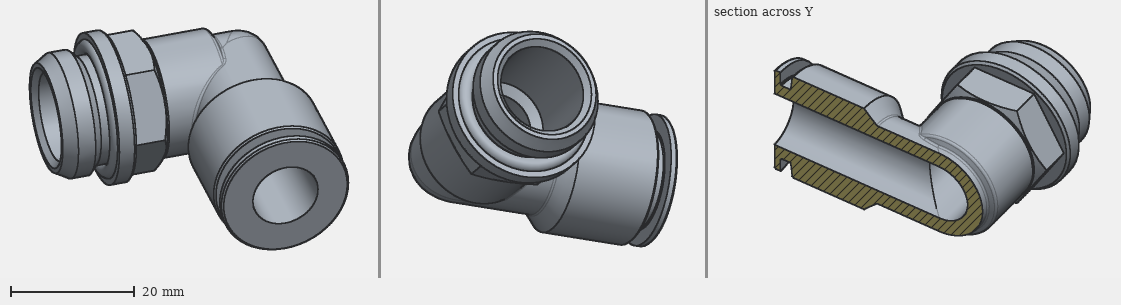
import cadquery as cq
import math


pipe_radius = 8.5
bore_radius = 5.5
corner_radius = 4.0
corner_sections = 7

socket_radius = 11.0
socket_cone_start = 12.0
socket_cone_angle = math.radians(45)
socket_cone_end = socket_cone_start + (socket_radius - pipe_radius) / math.tan(socket_cone_angle)
cone_root_fillet = 0.5
socket_end = 28.5
socket_chamfer = 0.3
socket_dome_height = 0.3

collar_neck_radius = 8.0
collar_radius = 10.75
collar_start = 30.7
collar_end = 31.9
collar_neck_chamfer = 0.2
collar_chamfer = 0.3

sleeve_radius = 9.75
sleeve_top = 1.33
sleeve_rim_angle = math.radians(30)
sleeve_rim_end = sleeve_top + (sleeve_radius - pipe_radius) * math.tan(sleeve_rim_angle)
sleeve_rim_rounding = 0.6
sleeve_root_fillet = 0.45
sleeve_bottom_chamfer = 0.3

select_margin = 0.01

hex_top = 13.0
hex_across_flats = 20.0
hex_corner_radius = hex_across_flats / math.sqrt(3)
hex_face_radius = 9.8
hex_chamfer_angle = math.radians(30)

flange_top = 19.0
flange_bottom = 22.0
flange_radius = 12.5
flange_chamfer = 0.45
ring_section_radius = 1.25
ring_bottom = 22.9

relief_radius = 9.0
relief_end = 24.0
thread_radius = 10.35
thread_start = relief_end + thread_radius - relief_radius
thread_end = 28.25
stem_end = 30.5
tip_radius = 9.05

stem_bore_radius = 7.25
stem_bore_chamfer = 1.0
stem_bore_bottom = 13.0
stem_bore_cone_top = 12.0


def revolve_about_x(points):
    """Solid of revolution about X from (x, radius) points."""
    return cq.Workplane("XY").polyline(points).close().revolve(360, (0, 0), (1, 0))


def revolve_about_stem(points):
    """Solid of revolution about Y from (distance down the stem, radius) points."""
    profile = [(radius, -depth) for depth, radius in points]
    return cq.Workplane("XY").polyline(profile).close().revolve(360, (0, 0), (0, 1))


def pipe_leg(plane, radius, length, boundary):
    """Cylinder through the crossing point, kept only inside the boundary polygon in XY."""
    cylinder = cq.Workplane(plane).workplane(offset=-radius).circle(radius).extrude(length + radius)
    keep = cq.Workplane("XY").polyline(boundary).close().extrude(radius, both=True)
    return cylinder.intersect(keep)


def mitred_legs(radius, socket_length, stem_length, setback):
    """Two equal cylinders meeting at 90 degrees.

    On the inside of the bend they meet in the mitre plane y = -x.  On the outside each leg stops
    at the plane through Z and the point where its outline lies a setback short of the outer corner.
    """
    far = 2 * (socket_length + stem_length)
    tangent_ratio = 1 - setback / radius
    inner = (far, -far)
    socket_side = [(0, 0), (-far * tangent_ratio, far), (far, far), inner]
    stem_side = [(0, 0), (-far, far * tangent_ratio), (-far, -far), inner]
    socket_leg = pipe_leg("YZ", radius, socket_length, socket_side)
    stem_leg = pipe_leg("XZ", radius, stem_length, stem_side)
    return socket_leg.union(stem_leg)


def half_ellipse(x, y):
    """Half ellipse through (x, y, 0) joining the two poles of the elbow at z = +/- pipe_radius."""
    reach = math.hypot(x, y)
    outward = cq.Vector(x, y, 0)
    normal = cq.Vector(y, -x, 0)
    edge = cq.Edge.makeEllipse(reach, pipe_radius, cq.Vector(), normal, outward, -90, 90, 1)
    return cq.Wire.assembleEdges([edge])


def half_ellipse_face(wire):
    """Flat face between a half ellipse and its diameter along Z."""
    diameter = cq.Edge.makeLine(wire.endPoint(), wire.startPoint())
    return cq.Face.makeFromWires(cq.Wire.assembleEdges([*wire.Edges(), diameter]))


def rounded_corner():
    """Outer corner of the elbow: half ellipses fanned about Z, following the corner arc in XY."""
    arc_center = pipe_radius - corner_radius
    ribs = []
    for index in range(corner_sections):
        angle = math.pi / 2 * (1 + index / (corner_sections - 1))
        x = -arc_center + corner_radius * math.cos(angle)
        y = arc_center + corner_radius * math.sin(angle)
        ribs.append(half_ellipse(x, y))
    skin = cq.occ_impl.shapes.loft(*ribs)
    caps = [half_ellipse_face(ribs[0]), half_ellipse_face(ribs[-1])]
    shell = cq.Shell.makeShell([*skin.Faces(), *caps])
    return cq.Workplane(cq.Solid.makeSolid(shell))


def tube_socket():
    """Socket body with its entry cone blended into the pipe and a slightly domed mouth."""
    blend_start = socket_cone_start - cone_root_fillet * math.tan(socket_cone_angle / 2)

    def blend_point(angle):
        x = blend_start + cone_root_fillet * math.sin(angle)
        radius = pipe_radius + cone_root_fillet * (1 - math.cos(angle))
        return x, radius

    return (
        cq.Workplane("XY")
        .moveTo(blend_start, 0)
        .lineTo(blend_start, pipe_radius)
        .threePointArc(blend_point(socket_cone_angle / 2), blend_point(socket_cone_angle))
        .lineTo(socket_cone_end, socket_radius)
        .lineTo(socket_end - socket_chamfer, socket_radius)
        .lineTo(socket_end, socket_radius - socket_chamfer)
        .lineTo(socket_end + socket_dome_height, collar_neck_radius)
        .lineTo(socket_end + socket_dome_height, 0)
        .close()
        .revolve(360, (0, 0), (1, 0))
    )


def release_collar():
    return revolve_about_x([
        (socket_end, 0),
        (socket_end, collar_neck_radius),
        (collar_start - collar_neck_chamfer, collar_neck_radius),
        (collar_start, collar_neck_radius + collar_neck_chamfer),
        (collar_start, collar_radius),
        (collar_end - collar_chamfer, collar_radius),
        (collar_end, collar_radius - collar_chamfer),
        (collar_end, 0),
    ])


def sleeve():
    """Swivel sleeve with a sloping, rounded upper rim and a small chamfer above the hexagon."""
    blank = revolve_about_stem([
        (sleeve_top, 0),
        (sleeve_top, pipe_radius),
        (sleeve_rim_end, sleeve_radius),
        (hex_top - sleeve_bottom_chamfer, sleeve_radius),
        (hex_top, sleeve_radius - sleeve_bottom_chamfer),
        (hex_top, 0),
    ])
    rim = cq.selectors.BoxSelector(
        (-sleeve_radius, -sleeve_rim_end - select_margin, -sleeve_radius),
        (sleeve_radius, -sleeve_rim_end + select_margin, sleeve_radius),
    )
    return blank.edges(rim).fillet(sleeve_rim_rounding)


def elbow():
    legs = mitred_legs(pipe_radius, socket_cone_start, hex_top, corner_radius)
    return legs.union(rounded_corner())


def elbow_with_sleeve():
    """Elbow standing in the sleeve, with a small fillet all along the joint between them."""
    joined = elbow().union(sleeve())
    rim_joint = cq.selectors.BoxSelector(
        (-pipe_radius, -sleeve_top - select_margin, -pipe_radius),
        (pipe_radius, -sleeve_top + select_margin, pipe_radius),
    )
    leg_joint = cq.selectors.BoxSelector(
        (select_margin, -pipe_radius, -pipe_radius),
        (sleeve_radius, -sleeve_top - select_margin, pipe_radius),
    )
    return joined.edges(rim_joint + leg_joint).fillet(sleeve_root_fillet)


def hexagon():
    """Hexagon whose upper corners are cut back by a cone."""
    height = flange_top - hex_top
    prism = cq.Workplane("XZ").workplane(offset=hex_top).polygon(6, 2 * hex_corner_radius).extrude(height)
    chamfer_depth = (hex_corner_radius - hex_face_radius) * math.tan(hex_chamfer_angle)
    envelope = revolve_about_stem([
        (hex_top, 0),
        (hex_top, hex_face_radius),
        (hex_top + chamfer_depth, hex_corner_radius),
        (flange_top, hex_corner_radius),
        (flange_top, 0),
    ])
    return prism.intersect(envelope)


def flange_and_thread():
    return revolve_about_stem([
        (flange_top, 0),
        (flange_top, flange_radius - flange_chamfer),
        (flange_top + flange_chamfer, flange_radius),
        (flange_bottom, flange_radius),
        (flange_bottom, relief_radius),
        (relief_end, relief_radius),
        (thread_start, thread_radius),
        (thread_end, thread_radius),
        (stem_end, tip_radius),
        (stem_end, 0),
    ])


def sealing_ring():
    """Ring seated in the underside of the flange, its inner side touching the thread relief."""
    center_radius = relief_radius + ring_section_radius
    center_y = ring_section_radius - ring_bottom
    section = cq.Workplane("XY").center(center_radius, center_y).circle(ring_section_radius)
    return section.revolve(360, (-center_radius, 0), (-center_radius, 1))


def bores():
    """Mitred flow passage, open at both ends and widened in the stem."""
    passage = mitred_legs(bore_radius, collar_end, stem_end, 0)
    stem_bore = revolve_about_stem([
        (stem_bore_cone_top, 0),
        (stem_bore_cone_top, bore_radius),
        (stem_bore_bottom, stem_bore_radius),
        (stem_end - stem_bore_chamfer, stem_bore_radius),
        (stem_end, stem_bore_radius + stem_bore_chamfer),
        (stem_end, 0),
    ])
    return passage.union(stem_bore)


body = elbow_with_sleeve()
for feature in (tube_socket, release_collar, hexagon, flange_and_thread, sealing_ring):
    body = body.union(feature())

result = body.cut(bores())